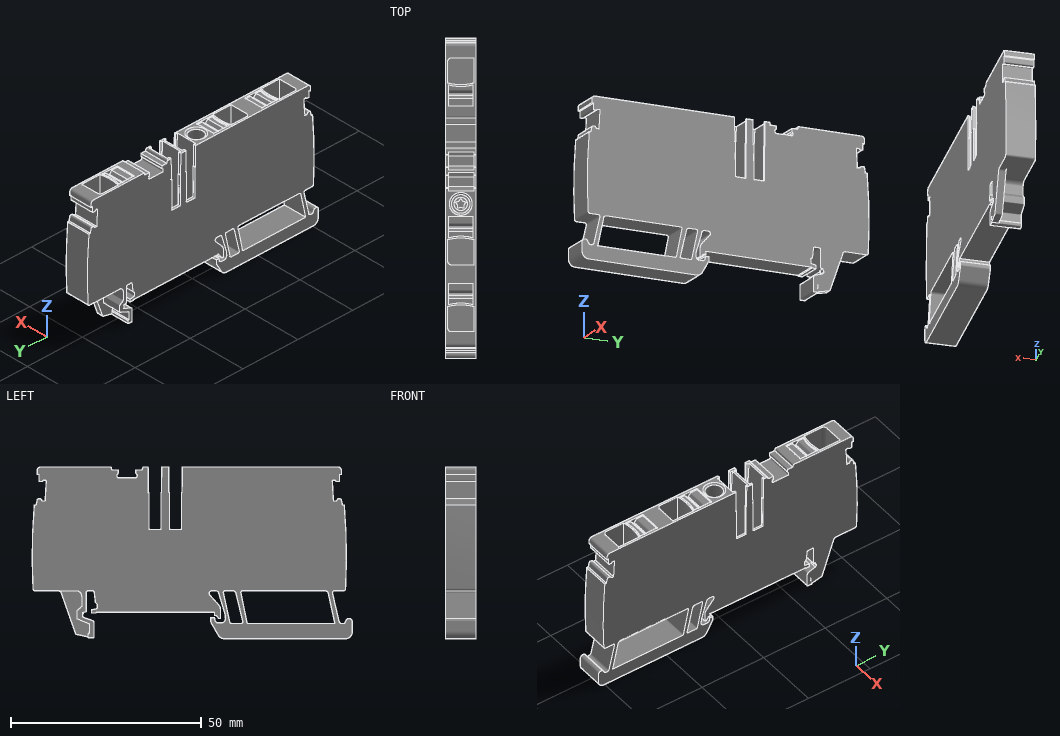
import cadquery as cq
import math

THROUGH = "through"

WIDTH = 8.1
OVERALL_LENGTH = 84.1
HEIGHT = 45.15
HOUSING_LENGTH = 82.55
HOUSING_BOTTOM = 12.6
RAIL_SEAT = 6.95
FOOT_TOP = 4.05
X_MIN = -WIDTH / 2
X_MAX = WIDTH / 2

END_BOTTOM_INSET = 0.25
END_BULGE_Z = 21.7
END_CORNER_RADIUS = 0.6

STEP_Z = HEIGHT - 0.75
UNDERCUT_TOP_Z = HEIGHT - 1.65
UNDERCUT_BOTTOM_Z = HEIGHT - 2.05
GROOVE_Z = HEIGHT - 2.8

SLOT_CENTRES = (32.25, 37.65)
SLOT_WIDTH_TOP = 3.5
SLOT_WIDTH_BOTTOM = 3.1
SLOT_TAPER = 0.05
SLOT_STEP_Z = 38.4
SLOT_FLOOR_Z = 28.75
SLOT_FLOOR_RADIUS = 0.2
SHAFT_WIDTH_TOP = 4.8
SHAFT_WIDTH_BOTTOM = 2.55
SHAFT_FLOOR_Z = 22.5
SHAFT_X_MIN = X_MIN + 0.8
SHAFT_X_MAX = X_MAX - 0.55

CLAMPS = ((12.2, -1), (52.45, 1), (70.0, 1))
ENTRY_LENGTH = 7.05
ENTRY_DEPTH = 10.0
ENTRY_CORNER_RADIUS = 1.0
ENTRY_X_MIN = X_MIN + 0.6
ENTRY_X_MAX = X_MAX - 0.6
RIB_THICKNESS = 0.5
RIB_BULGE = 0.45
LEVER_LENGTH = 5.6
LEVER_DEPTH = 0.4
LEVER_X_MIN = X_MIN + 0.85
LEVER_X_MAX = X_MAX - 0.8
LEVER_NOTCH_DEPTH = 1.0
LEVER_NOTCH_START = 2.05
LEVER_NOTCH_FLOOR_START = 2.8
LEVER_NOTCH_FLOOR_END = 3.15
LEVER_NOTCH_END = 4.0
LEVER_EDGE_RADIUS = 0.6

SCREW_U = 43.5
SCREW_BORE_RADIUS = 2.45
SCREW_RIM_RADIUS = 3.0
SCREW_RIM_DEPTH = 0.4
SCREW_FLOOR_Z = HEIGHT - 10.0
SCREW_HEAD_RADIUS = 1.75
SCREW_HEAD_HEIGHT = 1.0
SOCKET_POINTS = 5
SOCKET_OUTER_RADIUS = 1.4
SOCKET_INNER_RADIUS = 0.9
SOCKET_DEPTH = 0.6

BRACE_THICKNESS = 2.0
BRACE_OVERLAP = 1.0


def to_y(u):
    """Y of a distance u, with the part centred along Y."""
    return OVERALL_LENGTH / 2 - u


def corner_arc(before, corner, after, radius):
    """Start, middle and end of the arc that rounds a corner."""
    length_in = math.dist(corner, before)
    length_out = math.dist(corner, after)
    to_before = [(b - c) / length_in for b, c in zip(before, corner)]
    to_after = [(a - c) / length_out for a, c in zip(after, corner)]
    half_angle = math.acos(sum(p * q for p, q in zip(to_before, to_after))) / 2
    tangent = radius / math.tan(half_angle)
    start = tuple(c + d * tangent for c, d in zip(corner, to_before))
    end = tuple(c + d * tangent for c, d in zip(corner, to_after))
    bisector = [p + q for p, q in zip(to_before, to_after)]
    reach = (radius / math.sin(half_angle) - radius) / math.hypot(*bisector)
    middle = tuple(c + d * reach for c, d in zip(corner, bisector))
    return start, middle, end


def rounded_prism(outline, x_min=X_MIN, x_max=X_MAX):
    """Extrude a (u, z, radius) outline from x_min to x_max."""
    corners = [(to_y(u), z) for u, z, _ in outline]
    count = len(corners)
    path = None
    through = None
    for i, (_, _, radius) in enumerate(outline):
        corner = corners[i]
        if radius == THROUGH:
            through = corner
            continue
        start, middle, end = corner, None, None
        if radius:
            start, middle, end = corner_arc(corners[i - 1], corner, corners[(i + 1) % count], radius)
        if path is None:
            path = cq.Workplane("YZ", origin=(x_min, 0, 0)).moveTo(*start)
        elif through:
            path = path.threePointArc(through, start)
            through = None
        else:
            path = path.lineTo(*start)
        if radius:
            path = path.threePointArc(middle, end)
    return path.close().extrude(x_max - x_min)


def end_profile():
    """One end of the housing, from its bottom corner up to the top face."""
    return [
        (END_BOTTOM_INSET, HOUSING_BOTTOM, 0),
        (0.0, END_BULGE_Z, THROUGH),
        (0.55, 35.1, 0),
        (1.05, 35.2, 0),
        (1.4, 36.8, 0.4),
        (2.3, 36.8, 0.25),
        (2.65, 36.25, 0.15),
        (3.4, 36.25, 0),
        (3.7, 41.6, 0.2),
        (3.0, 41.6, 0.2),
        (2.7, 41.3, 0.2),
        (1.8, 41.3, 0.25),
        (1.8, 43.15, 0),
        (1.3, 43.15, 0),
        (1.3, HEIGHT, 1.0),
    ]


def marker_groove():
    """Stepped, undercut groove and the top edge beside the first bridge shaft."""
    return [
        (20.75, HEIGHT, 0.2),
        (20.95, STEP_Z, 0),
        (22.65, STEP_Z, 0.2),
        (22.65, UNDERCUT_TOP_Z, 0),
        (22.35, UNDERCUT_BOTTOM_Z, 0),
        (22.35, GROOVE_Z, 0.3),
        (27.55, GROOVE_Z, 0.3),
        (27.55, UNDERCUT_BOTTOM_Z, 0),
        (27.2, UNDERCUT_TOP_Z, 0),
        (27.2, STEP_Z, 0),
        (28.85, STEP_Z, 0),
        (29.15, HEIGHT, 0.3),
    ]


def rail_foot():
    """Underside from the -Y end of the housing to the fixed hook, tooth and rail seat."""
    return [
        (78.75, HOUSING_BOTTOM, 0.5),
        (80.75, FOOT_TOP, 0.7),
        (82.0, FOOT_TOP, 0.3),
        (82.35, 4.75, 0),
        (83.2, 5.38, THROUGH),
        (OVERALL_LENGTH, 4.65, 0),
        (OVERALL_LENGTH, 0.0, 1.9),
        (49.4, 0.0, 2.0),
        (46.9, 4.4, 1.0),
        (46.9, 5.6, 0),
        (47.9, 5.6, 0),
        (48.2, 4.25, 0.7),
        (50.8, 4.25, 1.0),
        (50.65, 6.4, 0),
        (48.8, HOUSING_BOTTOM, 0.8),
        (45.7, HOUSING_BOTTOM, 0.65),
        (49.5, 8.4, 2.0),
        (49.5, 5.3, 0),
        (49.0, 5.3, 0),
        (48.4, 6.1, 0),
        (47.85, 6.1, 0),
        (47.85, RAIL_SEAT, 0),
    ]


def release_leg():
    """Underside from the rail seat to the flexible leg and the +Y end of the housing."""
    return [
        (16.9, RAIL_SEAT, 0),
        (16.7, RAIL_SEAT - 0.2, 0),
        (15.55, RAIL_SEAT - 0.2, 0),
        (15.55, 7.65, 0),
        (17.1, 7.95, 0.2),
        (17.1, 9.1, 0.3),
        (16.6, 9.6, 0),
        (16.25, HOUSING_BOTTOM, 0.4),
        (14.25, HOUSING_BOTTOM, 0.4),
        (14.25, 7.1, 0.2),
        (13.25, 6.9, 0),
        (13.25, 5.75, 0),
        (16.3, 4.7, 0.8),
        (16.3, 0.25, 0.3),
        (14.75, 0.25, 0.2),
        (14.75, 1.3, 0),
        (15.05, 1.5, 0),
        (15.05, 3.95, 0.2),
        (11.75, 5.3, 0.2),
        (11.75, 7.4, 0.2),
        (13.05, 8.5, 0.2),
        (13.05, HOUSING_BOTTOM, 1.4),
    ]


def body():
    right_end = [(HOUSING_LENGTH - u, z, r) for u, z, r in reversed(end_profile())]
    outline = end_profile() + marker_groove() + right_end + rail_foot() + release_leg()
    block = rounded_prism(outline)
    for u in (END_BOTTOM_INSET, HOUSING_LENGTH - END_BOTTOM_INSET):
        corner = cq.selectors.NearestToPointSelector((0, to_y(u), HOUSING_BOTTOM))
        block = block.edges(corner).fillet(END_CORNER_RADIUS)
    return block


def foot_windows():
    """The two slanted openings between the housing and the rail foot."""
    small = [
        (50.15, HOUSING_BOTTOM, 0.4),
        (53.35, HOUSING_BOTTOM, 0.8),
        (55.4, FOOT_TOP, 0.4),
        (52.0, FOOT_TOP, 0.5),
    ]
    large = [
        (54.75, HOUSING_BOTTOM, 0.4),
        (77.6, HOUSING_BOTTOM, 0.8),
        (79.45, FOOT_TOP, 0),
        (56.5, FOOT_TOP, 0.4),
    ]
    return rounded_prism(small).union(rounded_prism(large))


def clip_brace():
    """Web joining the release leg to the housing on the +X side only."""
    outline = [
        (6.6, HOUSING_BOTTOM, 0),
        (7.45, HOUSING_BOTTOM, 0.8),
        (11.45, 1.2, 0.4),
        (14.9, 0.45, 0),
        (15.2, 4.2, 0),
        (13.2, 6.0, 0),
        (14.0, 8.0, 0),
        (14.0, HOUSING_BOTTOM + BRACE_OVERLAP, 0),
        (6.6, HOUSING_BOTTOM + BRACE_OVERLAP, 0),
    ]
    return rounded_prism(outline, X_MAX - BRACE_THICKNESS, X_MAX)


def bridge_shaft(centre):
    """Slot through the full width with a tapered, deeper shaft in its middle."""
    half_top = SLOT_WIDTH_TOP / 2
    half_bottom = SLOT_WIDTH_BOTTOM / 2
    slot = rounded_prism([
        (centre - half_top, HEIGHT, 0),
        (centre - half_top + SLOT_TAPER, SLOT_STEP_Z, 0),
        (centre - half_bottom, SLOT_STEP_Z, 0),
        (centre - half_bottom, SLOT_FLOOR_Z, SLOT_FLOOR_RADIUS),
        (centre + half_bottom, SLOT_FLOOR_Z, SLOT_FLOOR_RADIUS),
        (centre + half_bottom, SLOT_STEP_Z, 0),
        (centre + half_top - SLOT_TAPER, SLOT_STEP_Z, 0),
        (centre + half_top, HEIGHT, 0),
    ])
    shaft = rounded_prism([
        (centre - SHAFT_WIDTH_TOP / 2, HEIGHT, 0),
        (centre - SHAFT_WIDTH_BOTTOM / 2, SHAFT_FLOOR_Z, 0),
        (centre + SHAFT_WIDTH_BOTTOM / 2, SHAFT_FLOOR_Z, 0),
        (centre + SHAFT_WIDTH_TOP / 2, HEIGHT, 0),
    ], SHAFT_X_MIN, SHAFT_X_MAX)
    return slot.union(shaft)


def wire_entry(rib_u, outward):
    """Rectangular funnel whose inner wall bulges away from the opening."""
    inner_y = to_y(rib_u + outward * RIB_BULGE)
    outer_y = to_y(rib_u + outward * ENTRY_LENGTH)
    return (
        cq.Workplane("XY", origin=(0, 0, HEIGHT - ENTRY_DEPTH))
        .moveTo(ENTRY_X_MIN, inner_y)
        .threePointArc((0, to_y(rib_u)), (ENTRY_X_MAX, inner_y))
        .lineTo(ENTRY_X_MAX, outer_y)
        .lineTo(ENTRY_X_MIN + ENTRY_CORNER_RADIUS, outer_y)
        .radiusArc((ENTRY_X_MIN, outer_y + outward * ENTRY_CORNER_RADIUS), outward * ENTRY_CORNER_RADIUS)
        .close()
        .extrude(ENTRY_DEPTH)
    )


def release_lever(rib_u, outward):
    """Shallow recess with a screwdriver notch across it, bounded by the curved rib.

    The notch edge on the +Y side is the rounded one, whichever way the clamp faces.
    """
    inner_radius, outer_radius = (LEVER_EDGE_RADIUS, 0) if outward > 0 else (0, LEVER_EDGE_RADIUS)
    start_u = rib_u - outward * (RIB_THICKNESS + LEVER_LENGTH - RIB_BULGE)
    face_z = HEIGHT - LEVER_DEPTH
    stations = [
        (0, HEIGHT, 0),
        (0, face_z, 0),
        (LEVER_NOTCH_START, face_z, inner_radius),
        (LEVER_NOTCH_FLOOR_START, face_z - LEVER_NOTCH_DEPTH, 0),
        (LEVER_NOTCH_FLOOR_END, face_z - LEVER_NOTCH_DEPTH, 0),
        (LEVER_NOTCH_END, face_z, outer_radius),
        (LEVER_LENGTH, face_z, 0),
        (LEVER_LENGTH, HEIGHT, 0),
    ]
    outline = [(start_u + outward * t, z, r) for t, z, r in stations]
    recess = rounded_prism(outline, LEVER_X_MIN, LEVER_X_MAX)
    edge_y = to_y(rib_u - outward * (RIB_THICKNESS - RIB_BULGE))
    rib = (
        cq.Workplane("XY", origin=(0, 0, face_z - LEVER_NOTCH_DEPTH))
        .moveTo(LEVER_X_MIN, edge_y)
        .threePointArc((0, to_y(rib_u - outward * RIB_THICKNESS)), (LEVER_X_MAX, edge_y))
        .close()
        .extrude(LEVER_DEPTH + LEVER_NOTCH_DEPTH)
    )
    return recess.cut(rib)


def screw_shaft():
    y = to_y(SCREW_U)
    bore = (
        cq.Workplane("XY", origin=(0, y, SCREW_FLOOR_Z))
        .circle(SCREW_BORE_RADIUS)
        .extrude(HEIGHT - SCREW_FLOOR_Z)
    )
    rim = cq.Workplane("XY").add(
        cq.Solid.makeCone(
            SCREW_BORE_RADIUS,
            SCREW_RIM_RADIUS,
            SCREW_RIM_DEPTH,
            pnt=cq.Vector(0, y, HEIGHT - SCREW_RIM_DEPTH),
        )
    )
    head = (
        cq.Workplane("XY", origin=(0, y, SCREW_FLOOR_Z))
        .circle(SCREW_HEAD_RADIUS)
        .extrude(SCREW_HEAD_HEIGHT)
    )
    star = []
    for i in range(2 * SOCKET_POINTS):
        radius = SOCKET_INNER_RADIUS if i % 2 else SOCKET_OUTER_RADIUS
        angle = math.pi / 2 + i * math.pi / SOCKET_POINTS
        star.append((radius * math.cos(angle), radius * math.sin(angle)))
    socket_z = SCREW_FLOOR_Z + SCREW_HEAD_HEIGHT - SOCKET_DEPTH
    socket = cq.Workplane("XY", origin=(0, y, socket_z)).polyline(star).close().extrude(SOCKET_DEPTH)
    return bore.union(rim).cut(head.cut(socket))


result = body().union(clip_brace()).cut(foot_windows()).cut(screw_shaft())
for slot_centre in SLOT_CENTRES:
    result = result.cut(bridge_shaft(slot_centre))
for clamp in CLAMPS:
    result = result.cut(wire_entry(*clamp)).cut(release_lever(*clamp))